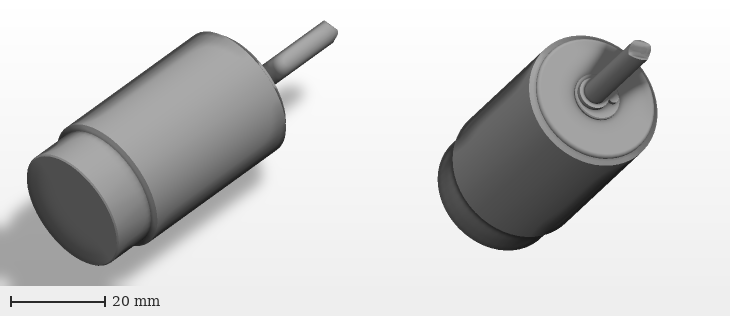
import cadquery as cq

total_length = 76.6

body_diameter = 30.0
nose_diameter = 27.5
nose_length = 9.95
nose_edge_chamfer = 0.3
front_cone_length = 0.7
rear_face_y = 51.0
cap_length = 0.9
cap_edge_fillet = 0.8
rear_cone_length = 0.8

boss_diameter = 10.5
boss_height = 0.7
boss_edge_chamfer = 0.2

collar_diameter = 6.9
collar_height = 1.15
indicator_diameter = 2.45
indicator_height = 0.9
indicator_x = -3.2

cable_diameter = 5.0
cable_x = 1.3
break_depth = 1.5
break_notch_z = -1.1
break_crest_z = 1.5

body_radius = body_diameter / 2
nose_radius = nose_diameter / 2
cable_radius = cable_diameter / 2
cap_start_y = rear_face_y - cap_length
boss_top_y = rear_face_y + boss_height


def rod_along_y(diameter, start_y, length, x=0.0):
    """Cylinder running toward +Y from start_y, centred on the given X."""
    plane = cq.Plane(origin=(x, start_y, 0), xDir=(1, 0, 0), normal=(0, 1, 0))
    return cq.Workplane(plane).circle(diameter / 2).extrude(length)


def make_barrel():
    """Turned barrel: nose, front cone, main cylinder, rear cone and end cap."""
    profile = [
        (0, 0),
        (nose_radius, 0),
        (nose_radius, nose_length),
        (body_radius, nose_length + front_cone_length),
        (body_radius, cap_start_y - rear_cone_length),
        (nose_radius, cap_start_y),
        (nose_radius, rear_face_y),
        (0, rear_face_y),
    ]
    barrel = cq.Workplane("XY").polyline(profile).close().revolve(360, (0, 0, 0), (0, 1, 0))
    barrel = barrel.faces("<Y").edges().chamfer(nose_edge_chamfer)
    return barrel.faces(">Y").edges().fillet(cap_edge_fillet)


def make_housing():
    """Barrel with the boss, indicator and collar that surround the cable."""
    boss = rod_along_y(boss_diameter, rear_face_y, boss_height)
    boss = boss.faces(">Y").edges().chamfer(boss_edge_chamfer)
    collar = rod_along_y(collar_diameter, boss_top_y, collar_height, cable_x)
    indicator = rod_along_y(indicator_diameter, boss_top_y, indicator_height, indicator_x)
    housing = make_barrel().union(boss).union(collar).union(indicator)
    socket = rod_along_y(cable_diameter, rear_face_y, total_length - rear_face_y, cable_x)
    return housing.cut(socket)


def make_cable():
    """Cable seated in the collar, with a wavy broken end."""
    cable = rod_along_y(cable_diameter, rear_face_y, total_length - rear_face_y, cable_x)
    break_y = total_length - break_depth
    shoulder_y = total_length - break_depth / 2
    beyond_y = total_length + 0.8
    gap = (
        cq.Workplane("YZ")
        .moveTo(total_length, -cable_radius)
        .lineTo(break_y, break_notch_z)
        .spline([(total_length, break_crest_z)], tangents=[(0, 1), (0, 1)], includeCurrent=True)
        .lineTo(shoulder_y, cable_radius)
        .lineTo(beyond_y, cable_radius)
        .lineTo(beyond_y, -cable_radius)
        .close()
        .extrude(cable_diameter, both=True)
    )
    return cable.cut(gap)


housing = make_housing()
cable = make_cable()
result = cq.Compound.makeCompound([housing.val(), cable.val()])